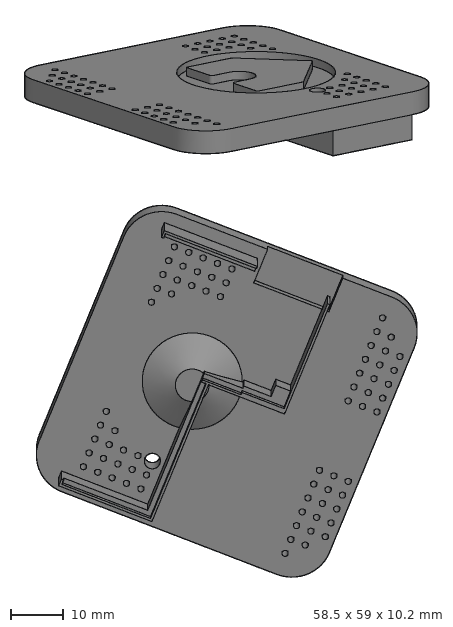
import cadquery as cq

PLATE_X = 58.5
PLATE_Y = 59.0
TOTAL_HEIGHT = 10.2
PLATE_THICKNESS = 4.5
CORNER_RADIUS = 7.65
PLATE_BOTTOM = TOTAL_HEIGHT - PLATE_THICKNESS

RECESS_DIAMETER = 30.0
RECESS_DEPTH = 1.65
RECESS_Y = 7.0
HOUSE_HALF_WIDTH = 11.0
HOUSE_BASE_Y = -1.25
HOUSE_EAVES_Y = 9.8
HOUSE_RIDGE_Y = 20.55
DOOR_RADIUS = 3.1
DOOR_TOP_Y = 6.15
HOUSE_CORNER_RADIUS = 0.4
DOOR_CORNER_RADIUS = 0.7

VENT_DIAMETER = 1.2
UPPER_ROWS = (5, 4, 3, 3, 3)
UPPER_GROUP_WIDTH = 11.7
VENT_PITCH = UPPER_GROUP_WIDTH / (max(UPPER_ROWS) - 1)
UPPER_VENT_X = 23.2
UPPER_VENT_Y = 19.9
LOWER_ROWS = (7, 6, 5)
LOWER_VENT_X = 7.3
LOWER_VENT_Y = -21.8

LARGE_HOLE_DIAMETER = 3.0
LARGE_HOLE_COLUMN = 2
LARGE_HOLE_ROW = 4

SLOT_FRONT_Y = -11.9
SLOT_BACK_Y = 3.35
SLOT_HEIGHT = 2.05
SLOT_LENGTH = 7.1

WALL_THICKNESS = 1.4
LIP_THICKNESS = 0.5
REBATE_HEIGHT = 1.35
WALL_OUTER_X = 26.9
WALL_BACK_Y = 23.4
STEP_Y = 4.5
FRONT_LIP_Y = -11.0
FRONT_LIP_LEFT_X = -25.0
LEG_OUTER_X = -1.95
LEG_STEP_Y = -1.95
LEG_STEP = 0.5
CORNER_BLOCK_BACK_Y = -7.5
CORNER_BLOCK_LENGTH = 2.35

CONE_BASE_RADIUS = 9.45
CONE_TIP_RADIUS = 3.2
CONE_HEIGHT = 2.95


def box(x_min, x_max, y_min, y_max, z_min, z_max):
    """Axis-aligned block between the given limits."""
    size = (x_max - x_min, y_max - y_min, z_max - z_min)
    return cq.Workplane("XY").box(*size, centered=False).translate((x_min, y_min, z_min))


def wall(x_min, x_max, y_min, y_max):
    """Wall from the lowest level up to the underside of the plate."""
    return box(x_min, x_max, y_min, y_max, 0, PLATE_BOTTOM)


def rebate(x_min, x_max, y_min, y_max):
    """Cutter for the board seat along the lower edge of a wall."""
    return box(x_min, x_max, y_min, y_max, 0, REBATE_HEIGHT)


def make_plate():
    plate = box(-PLATE_X / 2, PLATE_X / 2, -PLATE_Y / 2, PLATE_Y / 2, PLATE_BOTTOM, TOTAL_HEIGHT)
    return plate.edges("|Z").fillet(CORNER_RADIUS)


def make_recess():
    recess = cq.Workplane("XY", origin=(0, RECESS_Y, TOTAL_HEIGHT - RECESS_DEPTH))
    return recess.circle(RECESS_DIAMETER / 2).extrude(RECESS_DEPTH)


def make_house():
    """House outline with an arched doorway, rising from the recess floor to the plate top."""
    spring_y = DOOR_TOP_Y - DOOR_RADIUS
    house = (
        cq.Workplane("XY", origin=(0, 0, TOTAL_HEIGHT - RECESS_DEPTH))
        .moveTo(-HOUSE_HALF_WIDTH, HOUSE_BASE_Y)
        .lineTo(-DOOR_RADIUS, HOUSE_BASE_Y)
        .lineTo(-DOOR_RADIUS, spring_y)
        .threePointArc((0, DOOR_TOP_Y), (DOOR_RADIUS, spring_y))
        .lineTo(DOOR_RADIUS, HOUSE_BASE_Y)
        .lineTo(HOUSE_HALF_WIDTH, HOUSE_BASE_Y)
        .lineTo(HOUSE_HALF_WIDTH, HOUSE_EAVES_Y)
        .lineTo(0, HOUSE_RIDGE_Y)
        .lineTo(-HOUSE_HALF_WIDTH, HOUSE_EAVES_Y)
        .close()
        .extrude(RECESS_DEPTH)
    )
    for half_width, radius in (
        (HOUSE_HALF_WIDTH, HOUSE_CORNER_RADIUS),
        (DOOR_RADIUS, DOOR_CORNER_RADIUS),
    ):
        for x in (-half_width, half_width):
            corner = cq.selectors.NearestToPointSelector((x, HOUSE_BASE_Y, TOTAL_HEIGHT - RECESS_DEPTH / 2))
            house = house.edges("|Z").edges(corner).fillet(radius)
    return house


def vent_points():
    """Vent centres: mirrored triangular groups at the upper and lower corners."""
    points = []
    for side in (-1, 1):
        for row, count in enumerate(UPPER_ROWS):
            for column in range(count):
                is_large = side == 1 and (column, row) == (LARGE_HOLE_COLUMN, LARGE_HOLE_ROW)
                if not is_large:
                    x = UPPER_VENT_X - column * VENT_PITCH
                    points.append((side * x, UPPER_VENT_Y - row * VENT_PITCH))
        for row, count in enumerate(LOWER_ROWS):
            for column in range(count):
                x = LOWER_VENT_X + column * VENT_PITCH
                points.append((side * x, LOWER_VENT_Y - row * VENT_PITCH))
    return points


def make_holes():
    large_x = UPPER_VENT_X - LARGE_HOLE_COLUMN * VENT_PITCH
    large_y = UPPER_VENT_Y - LARGE_HOLE_ROW * VENT_PITCH
    base = cq.Workplane("XY", origin=(0, 0, PLATE_BOTTOM))
    vents = base.pushPoints(vent_points()).circle(VENT_DIAMETER / 2).extrude(PLATE_THICKNESS)
    large_hole = base.center(large_x, large_y).circle(LARGE_HOLE_DIAMETER / 2).extrude(PLATE_THICKNESS)
    return vents.add(large_hole).combine()


def make_slot():
    left = -PLATE_X / 2
    top = PLATE_BOTTOM + SLOT_HEIGHT
    return box(left, left + SLOT_LENGTH, SLOT_FRONT_Y, SLOT_BACK_Y, PLATE_BOTTOM, top)


def make_side_wall():
    """Left wall, open at its front end and closed by a lip at its back end."""
    inner_x = -WALL_OUTER_X + WALL_THICKNESS
    side = wall(-WALL_OUTER_X, inner_x, STEP_Y, WALL_BACK_Y)
    return side.cut(rebate(-WALL_OUTER_X + LIP_THICKNESS, inner_x, STEP_Y, WALL_BACK_Y - LIP_THICKNESS))


def make_step_wall():
    """Wall along X from the leg to the right wall, rebated at the back."""
    inner_y = STEP_Y + WALL_THICKNESS
    step = wall(LEG_OUTER_X - LIP_THICKNESS, WALL_OUTER_X, STEP_Y, inner_y)
    seat = rebate(LEG_OUTER_X - LIP_THICKNESS, WALL_OUTER_X - LIP_THICKNESS, STEP_Y + LIP_THICKNESS, inner_y)
    return step.cut(seat)


def make_leg():
    """Wall along Y from the front lip to the step wall, thicker at its front part."""
    lip_x = LEG_OUTER_X - LIP_THICKNESS
    shelf_x = LEG_OUTER_X - WALL_THICKNESS
    back_y = STEP_Y + WALL_THICKNESS
    leg = wall(shelf_x, LEG_OUTER_X, FRONT_LIP_Y, back_y)
    leg = leg.cut(rebate(shelf_x, lip_x, FRONT_LIP_Y, back_y))
    front = wall(shelf_x - LEG_STEP, LEG_OUTER_X, FRONT_LIP_Y, LEG_STEP_Y)
    front = front.cut(rebate(shelf_x - LEG_STEP, lip_x - LEG_STEP, FRONT_LIP_Y, LEG_STEP_Y))
    return leg.union(front)


def make_front_lip():
    """Thin front wall with a seat block where it meets the leg."""
    inner_y = FRONT_LIP_Y + LIP_THICKNESS
    lip = wall(FRONT_LIP_LEFT_X, LEG_OUTER_X, FRONT_LIP_Y, inner_y)
    shelf_x = LEG_OUTER_X - WALL_THICKNESS - LEG_STEP
    block_left = shelf_x - CORNER_BLOCK_LENGTH
    block = box(block_left, shelf_x, inner_y, CORNER_BLOCK_BACK_Y, REBATE_HEIGHT, PLATE_BOTTOM)
    return lip.union(block)


def make_cone():
    cone = cq.Solid.makeCone(
        CONE_TIP_RADIUS,
        CONE_BASE_RADIUS,
        CONE_HEIGHT,
        pnt=cq.Vector(0, RECESS_Y, PLATE_BOTTOM - CONE_HEIGHT),
    )
    return cq.Workplane("XY").add(cone)


left_wall = make_side_wall()
right_wall = left_wall.mirror("YZ")

result = (
    make_plate()
    .cut(make_recess())
    .union(make_house())
    .cut(make_slot())
    .cut(make_holes())
    .union(left_wall)
    .union(right_wall)
    .union(make_step_wall())
    .union(make_leg())
    .union(make_front_lip())
    .union(make_cone())
)